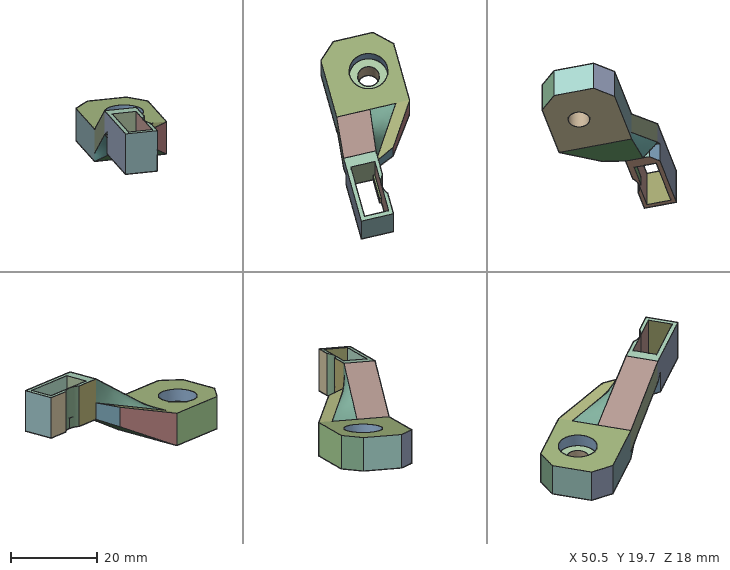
import cadquery as cq
import math

length = 50.5
height = 18.0

pad_length = 18.9
pad_height = 8.0
pad_front = 2.15
pad_back = 19.65
pad_chamfer = 4.0
hole_x = 9.35
hole_y = 12.2
hole_diameter = 5.0
counterbore_diameter = 9.0
counterbore_depth = 3.0

sleeve_start = 33.95
sleeve_width = 7.75
sleeve_bottom = pad_height
corner_cut = 2.0
pocket_start = 36.5
pocket_end = 49.45
pocket_front = 1.05
pocket_back = 6.8
groove_x = 42.6
groove_half_width = 2.45
groove_web = 0.025
groove_depth = sleeve_width - pocket_back - groove_web
ledge_width = 0.45
ledge_height = 2.5

beam_depth = 5.9
beam_back = 10.15
wing_inner_edge = 16.3
wing_front = 3.55
wing_angle = 30.0
wing_tip_x = 31.1

arm_run = sleeve_start - pad_length
beam_slope = (height - pad_height) / arm_run
beam_underside = height - beam_depth
wing_slope = math.tan(math.radians(wing_angle))
wing_end_y = pad_back - arm_run * wing_slope
wing_tip_y = pad_back - (wing_tip_x - pad_length) * wing_slope


def box(x_range, y_range, z_range):
    """Box between the given limits along each axis."""
    sizes = [high - low for low, high in (x_range, y_range, z_range)]
    corner = (x_range[0], y_range[0], z_range[0])
    return cq.Workplane("XY").box(*sizes, centered=False).translate(corner)


def make_pad():
    """Flat pad with two chamfered corners and a counterbored hole."""
    pad = box((0, pad_length), (pad_front, pad_back), (0, pad_height))
    pad = pad.edges("|Z and <X").chamfer(pad_chamfer)
    hole_plane = pad.faces(">Z").workplane(origin=(hole_x, hole_y, pad_height))
    return hole_plane.cboreHole(hole_diameter, counterbore_diameter, counterbore_depth)


def section(x, points):
    """Closed wire of (y, z) points at one x position."""
    return cq.Wire.makePolygon([cq.Vector(x, y, z) for y, z in points], close=True)


def make_arm():
    """Ruled loft whose twisted faces blend the beam into its wing."""
    pad_section = [
        (pad_front, 0),
        (pad_front, pad_height - beam_depth),
        (pad_front, pad_height),
        (beam_back, pad_height),
        (wing_inner_edge, pad_height),
        (pad_back, pad_height),
        (pad_back, 0),
    ]
    sleeve_section = [
        (wing_front, sleeve_bottom),
        (0, beam_underside),
        (0, height),
        (sleeve_width, height),
        (sleeve_width, beam_underside),
        (wing_end_y, beam_underside),
        (wing_end_y, sleeve_bottom),
    ]
    wires = [section(pad_length, pad_section), section(sleeve_start, sleeve_section)]
    arm = cq.Workplane(obj=cq.Solid.makeLoft(wires, True))

    tip_outline = [
        (wing_tip_x, wing_tip_y),
        (sleeve_start, sleeve_width),
        (length, sleeve_width),
        (length, wing_tip_y),
    ]
    return arm.cut(cq.Workplane("XY").polyline(tip_outline).close().extrude(height))


def make_corner_cut():
    """Triangular cut in the sleeve corner, stopping at the underside of the beam."""
    cut_end = sleeve_start + corner_cut
    plan = [(sleeve_start, 0), (cut_end, 0), (sleeve_start, corner_cut)]
    profile = [
        (sleeve_start, 0),
        (cut_end, 0),
        (cut_end, beam_underside + corner_cut * beam_slope),
        (sleeve_start, beam_underside),
    ]
    triangle = cq.Workplane("XY").polyline(plan).close().extrude(height)
    below_beam = cq.Workplane("XZ").polyline(profile).close().extrude(-corner_cut)
    return triangle.intersect(below_beam)


def make_sleeve():
    """Open sleeve with a low inner ledge and a round groove in its back wall."""
    z_range = (sleeve_bottom, height)
    sleeve = box((sleeve_start, length), (0, sleeve_width), z_range)
    sleeve = sleeve.cut(box((pocket_start, pocket_end), (pocket_front, pocket_back), z_range))
    ledge = box(
        (pocket_start, groove_x),
        (pocket_back - ledge_width, pocket_back),
        (sleeve_bottom, sleeve_bottom + ledge_height),
    )
    groove_radius = (groove_half_width**2 + groove_depth**2) / (2 * groove_depth)
    groove_y = sleeve_width - groove_depth + groove_radius
    groove = cq.Workplane("XY").center(groove_x, groove_y).circle(groove_radius).extrude(height)
    return sleeve.union(ledge).cut(groove).cut(make_corner_cut())


result = make_pad().union(make_arm()).union(make_sleeve())